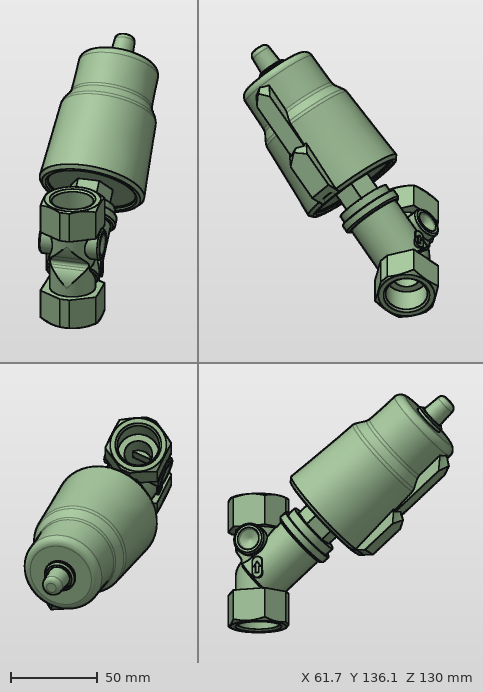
import cadquery as cq
import math


BODY_LENGTH = 75.0
PIPE_RADIUS = 26.5 / 2
BORE_DIAMETER = 16.0
BORE_FLAT_Y = -5.3
THROAT_HALF_HEIGHT = 5.0
WAIST_FILLET = 2.0
WAIST_CLEARANCE = 8.0

HEX_ACROSS_FLATS = 33.2
HEX_TRIMMED_DEPTH = 35.0
HEX_LENGTH = 18.8
HEX_FACE_RADIUS = 16.2
HEX_BEVEL_ANGLE = math.radians(30)
SOCKET_DIAMETER = 24.12
SOCKET_DEPTH = 16.0
SOCKET_CHAMFER = 1.2

PORT_Z = 10.7
PORT_DIAMETER = 18.2
PORT_SPAN = 36.0
PORT_CHAMFER = 1.0
PORT_HOLE_DIAMETER = 11.5
PORT_CONE_DEPTH = 3.3
PORT_HOLE_CHAMFER = 0.75

TILT = math.radians(40)
AXIS_Z = -10.3
AXIS_UP = (0, math.cos(TILT), math.sin(TILT))
ACROSS = (0, -math.sin(TILT), math.cos(TILT))
AXIS_ORIGIN = (0, 0, AXIS_Z)

BRANCH_RADIUS = 15.5
BRANCH_BASE = -0.4
BRANCH_CHAMFER = 0.9
COLLAR_RADIUS = 32.0 / 2
FLANGE_RADIUS = 36.0 / 2
FLANGE_BASE = 33.4
FLANGE_TOP = 38.8
FLANGE_CHAMFER = 1.1
COLLAR_TOP = 44.0
STEM_ACROSS_FLATS = 21.8

PLATE_Y = 4.7
PLATE_Z = -6.0
PLATE_WIDTH = 5.9
PLATE_HEIGHT = 12.4
PLATE_X = 16.2
ARROW_HEAD_WIDTH = 4.0
ARROW_SHAFT_WIDTH = 2.0
ARROW_LENGTH = 6.6
ARROW_HEAD_LENGTH = 2.9
ARROW_DEPTH = 0.3

SKIRT_BASE = 53.0
SKIRT_BASE_RADIUS = 29.0
SKIRT_EDGE = 55.2
SKIRT_RADIUS = 61.68 / 2
SHOULDER_BASE = 101.6
SHOULDER_BASE_RADIUS = 28.1
SHOULDER_TOP = 103.6
SHOULDER_TOP_RADIUS = 27.4
NECK_BASE = 108.9
NECK_BASE_RADIUS = 24.3
NECK_TOP = 110.8
NECK_TOP_RADIUS = 23.8
CAP_EDGE = 130.3
CAP_EDGE_RADIUS = 23.4
CAP_TOP = 135.0
CAP_TOP_RADIUS = 18.7
RECESS_RADIUS = 51.7 / 2
RECESS_DEPTH = 2.0
RECESS_CHAMFER = 1.0

RING_RADIUS = 18.2 / 2
RING_EDGE = 136.9
RING_TOP = 138.0
RING_TOP_RADIUS = 7.8
INDICATOR_BASE_RADIUS = 6.6
INDICATOR_TOP_RADIUS = 5.9
INDICATOR_TOP = 151.45
INDICATOR_ROUNDING = 3.0

PAD_SIDE_SLOPE = 1.0
UPPER_PAD_WIDTH = 11.0
UPPER_PAD_FACE = 29.3
UPPER_PAD_ROOT = 20.0
UPPER_PAD_BASE = 75.0
UPPER_PAD_SIDE_TOP = 121.1
UPPER_PAD_RIDGE_TOP = 126.9
UPPER_PAD_RIDGE_SLOPE = 0.5
LOWER_PAD_WIDTH = 14.0
LOWER_PAD_FACE = 34.2
LOWER_PAD_ROOT = 27.0
LOWER_PAD_BASE = 59.1
LOWER_PAD_BASE_SLOPE = -1.1
LOWER_PAD_SIDE_TOP = 81.0
LOWER_PAD_RIDGE_TOP = 86.4
LOWER_PAD_RIDGE_SLOPE = 0.4


def quarter_point(center, radius):
    """Middle of a convex quarter arc running from side to top."""
    offset = radius * math.sqrt(0.5)
    return center[0] + offset, center[1] + offset


def axis_plane():
    """Lengthwise plane of the branch: local x across the axis, local y along it."""
    return cq.Workplane(cq.Plane(origin=AXIS_ORIGIN, xDir=ACROSS, normal=(-1, 0, 0)))


def axial_section(height):
    """Plane square to the branch axis at a height, with local x parallel to X."""
    origin = (0, height * AXIS_UP[1], AXIS_Z + height * AXIS_UP[2])
    return cq.Workplane(cq.Plane(origin=origin, xDir=(1, 0, 0), normal=AXIS_UP))


def turned(outline):
    """Solid of revolution about the branch axis."""
    return outline.close().revolve(360, (0, 0), (0, 1))


def make_pipe():
    return cq.Workplane("XY").circle(PIPE_RADIUS).extrude(BODY_LENGTH / 2, both=True)


def make_branch():
    return turned(
        axis_plane()
        .moveTo(0, BRANCH_BASE)
        .lineTo(BRANCH_RADIUS - BRANCH_CHAMFER, BRANCH_BASE)
        .lineTo(BRANCH_RADIUS, BRANCH_BASE + BRANCH_CHAMFER)
        .lineTo(BRANCH_RADIUS, FLANGE_BASE)
        .lineTo(FLANGE_RADIUS - FLANGE_CHAMFER, FLANGE_BASE)
        .lineTo(FLANGE_RADIUS, FLANGE_BASE + FLANGE_CHAMFER)
        .lineTo(FLANGE_RADIUS, FLANGE_TOP)
        .lineTo(COLLAR_RADIUS, FLANGE_TOP)
        .lineTo(COLLAR_RADIUS, COLLAR_TOP)
        .lineTo(0, COLLAR_TOP)
    )


def make_waist_cutter():
    """Waist on the -Y side: two arcs across the pipe, joined by tangent faces.

    The lower arc ends in a face along the branch axis, the upper arc in a face
    square to it, and those two faces meet in a filleted inner corner."""
    r = PIPE_RADIUS
    sin_t = math.sin(TILT)
    cos_t = math.cos(TILT)
    upper_tangent = (-r * cos_t, r - r * sin_t)
    lower_tangent = (-r * sin_t, -r + r * cos_t)
    along = r * sin_t - r
    across = -r * cos_t + r
    corner = (along * cos_t - across * sin_t, along * sin_t + across * cos_t)
    upper_half = TILT / 2
    lower_half = (math.pi / 2 - TILT) / 2
    upper_middle = (-r * math.cos(upper_half), r - r * math.sin(upper_half))
    lower_middle = (-r * math.cos(lower_half), -r + r * math.sin(lower_half))
    outside = -r - WAIST_CLEARANCE
    return (
        cq.Workplane("YZ")
        .moveTo(outside, r)
        .lineTo(-r, r)
        .threePointArc(upper_middle, upper_tangent)
        .lineTo(*corner)
        .lineTo(*lower_tangent)
        .threePointArc(lower_middle, (-r, -r))
        .lineTo(outside, -r)
        .close()
        .extrude(2 * r, both=True)
        .edges(cq.selectors.NearestToPointSelector((0, *corner)))
        .fillet(WAIST_FILLET)
    )


def make_hexagon():
    """Upper hexagon with a bevelled outer end and its Y corners trimmed flat."""
    base = BODY_LENGTH / 2 - HEX_LENGTH
    corner_radius = HEX_ACROSS_FLATS / math.sqrt(3)
    bevel_drop = (corner_radius - HEX_FACE_RADIUS) * math.tan(HEX_BEVEL_ANGLE)
    hexagon = (
        cq.Workplane("XY", origin=(0, 0, base))
        .transformed(rotate=(0, 0, 90))
        .polygon(6, 2 * corner_radius)
        .extrude(HEX_LENGTH)
    )
    trim = (
        cq.Workplane("XY", origin=(0, 0, base))
        .rect(2 * corner_radius, HEX_TRIMMED_DEPTH)
        .extrude(HEX_LENGTH)
    )
    bevel = (
        cq.Workplane("XZ")
        .moveTo(0, base)
        .lineTo(corner_radius, base)
        .lineTo(corner_radius, BODY_LENGTH / 2 - bevel_drop)
        .lineTo(HEX_FACE_RADIUS, BODY_LENGTH / 2)
        .lineTo(0, BODY_LENGTH / 2)
        .close()
        .revolve(360, (0, 0), (0, 1))
    )
    return hexagon.intersect(trim).intersect(bevel)


def make_socket():
    """Upper socket recess with a chamfered mouth."""
    radius = SOCKET_DIAMETER / 2
    mouth = BODY_LENGTH / 2
    floor = mouth - SOCKET_DEPTH
    return (
        cq.Workplane("XZ")
        .moveTo(0, floor)
        .lineTo(radius, floor)
        .lineTo(radius, mouth - SOCKET_CHAMFER)
        .lineTo(radius + SOCKET_CHAMFER, mouth)
        .lineTo(0, mouth)
        .close()
        .revolve(360, (0, 0), (0, 1))
    )


def make_bore():
    """Through bore with a flat left on the -Y side of its throat."""
    radius = BORE_DIAMETER / 2
    bore = cq.Workplane("XY").circle(radius).extrude(BODY_LENGTH / 2, both=True)
    flat_thickness = radius + BORE_FLAT_Y
    flat = cq.Workplane("XY", origin=(0, BORE_FLAT_Y - flat_thickness / 2, 0)).box(
        BORE_DIAMETER, flat_thickness, 2 * THROAT_HALF_HEIGHT
    )
    return bore.cut(flat)


def make_ports():
    return (
        cq.Workplane("YZ", origin=(-PORT_SPAN / 2, 0, PORT_Z))
        .circle(PORT_DIAMETER / 2)
        .extrude(PORT_SPAN)
        .faces("<X or >X")
        .chamfer(PORT_CHAMFER)
    )


def make_port_hole():
    """Conical recess in the +X port with a chamfered mouth."""
    radius = PORT_HOLE_DIAMETER / 2
    mouth = PORT_SPAN / 2
    return (
        cq.Workplane("XY", origin=(0, 0, PORT_Z))
        .moveTo(mouth, 0)
        .lineTo(mouth, radius + PORT_HOLE_CHAMFER)
        .lineTo(mouth - PORT_HOLE_CHAMFER, radius)
        .lineTo(mouth - PORT_HOLE_CHAMFER - PORT_CONE_DEPTH, 0)
        .close()
        .revolve(360, (0, 0), (1, 0))
    )


def make_plate():
    """Oval plate on the +X side of the branch with an engraved upward arrow."""
    plate = (
        cq.Workplane("YZ", origin=(0, PLATE_Y, PLATE_Z))
        .slot2D(PLATE_HEIGHT, PLATE_WIDTH, 90)
        .extrude(PLATE_X)
    )
    tip = ARROW_LENGTH / 2
    shoulder = tip - ARROW_HEAD_LENGTH
    head = ARROW_HEAD_WIDTH / 2
    shaft = ARROW_SHAFT_WIDTH / 2
    arrow = (
        cq.Workplane("YZ", origin=(PLATE_X - ARROW_DEPTH, PLATE_Y, PLATE_Z))
        .polyline([
            (0, tip),
            (head, shoulder),
            (shaft, shoulder),
            (shaft, -tip),
            (-shaft, -tip),
            (-shaft, shoulder),
            (-head, shoulder),
        ])
        .close()
        .extrude(ARROW_DEPTH)
    )
    return plate.cut(arrow)


def make_housing():
    cap_rounding = (CAP_TOP_RADIUS, CAP_EDGE)
    return turned(
        axis_plane()
        .moveTo(0, SKIRT_BASE + RECESS_DEPTH)
        .lineTo(RECESS_RADIUS, SKIRT_BASE + RECESS_DEPTH)
        .lineTo(RECESS_RADIUS, SKIRT_BASE + RECESS_CHAMFER)
        .lineTo(RECESS_RADIUS + RECESS_CHAMFER, SKIRT_BASE)
        .lineTo(SKIRT_BASE_RADIUS, SKIRT_BASE)
        .lineTo(SKIRT_RADIUS, SKIRT_EDGE)
        .lineTo(SHOULDER_BASE_RADIUS, SHOULDER_BASE)
        .lineTo(SHOULDER_TOP_RADIUS, SHOULDER_TOP)
        .lineTo(NECK_BASE_RADIUS, NECK_BASE)
        .lineTo(NECK_TOP_RADIUS, NECK_TOP)
        .lineTo(CAP_EDGE_RADIUS, CAP_EDGE)
        .threePointArc(
            quarter_point(cap_rounding, CAP_TOP - CAP_EDGE),
            (CAP_TOP_RADIUS, CAP_TOP),
        )
        .lineTo(0, CAP_TOP)
    )


def make_indicator():
    rounding_base = INDICATOR_TOP - INDICATOR_ROUNDING
    tip_radius = INDICATOR_TOP_RADIUS - INDICATOR_ROUNDING
    return turned(
        axis_plane()
        .moveTo(0, CAP_EDGE)
        .lineTo(RING_RADIUS, CAP_EDGE)
        .lineTo(RING_RADIUS, RING_EDGE)
        .lineTo(RING_TOP_RADIUS, RING_TOP)
        .lineTo(INDICATOR_BASE_RADIUS, RING_TOP)
        .lineTo(INDICATOR_TOP_RADIUS, rounding_base)
        .threePointArc(
            quarter_point((tip_radius, rounding_base), INDICATOR_ROUNDING),
            (tip_radius, INDICATOR_TOP),
        )
        .lineTo(0, INDICATOR_TOP)
    )


def make_stem():
    """Hexagonal stem from the collar into the housing, with an edge towards -X."""
    return (
        axial_section(COLLAR_TOP)
        .polygon(6, STEM_ACROSS_FLATS * 2 / math.sqrt(3))
        .extrude(SKIRT_BASE + RECESS_DEPTH - COLLAR_TOP)
    )


def make_pad(width, face, root, base, base_slope, side_top, ridge_top, ridge_slope):
    """Pad under the housing with a pointed upper end.

    Heights are given on the outer face; slopes give their rise per millimetre
    towards the axis. Nothing is left below the base of the skirt."""
    depth = face - root
    half_width = width / 2

    def outline(inward):
        bottom = base + base_slope * inward
        side = side_top + PAD_SIDE_SLOPE * inward
        ridge = ridge_top + ridge_slope * inward
        return [
            (-half_width, bottom),
            (half_width, bottom),
            (half_width, side),
            (0, ridge),
            (-half_width, side),
        ]

    origin = (0, -face * ACROSS[1], AXIS_Z - face * ACROSS[2])
    plane = cq.Plane(origin=origin, xDir=(1, 0, 0), normal=ACROSS)
    pad = (
        cq.Workplane(plane)
        .polyline(outline(0))
        .close()
        .workplane(offset=depth)
        .polyline(outline(depth))
        .close()
        .loft(ruled=True)
    )
    above_skirt_base = axial_section(SKIRT_BASE).circle(2 * face).extrude(CAP_TOP - SKIRT_BASE)
    return pad.intersect(above_skirt_base)


upper_pad = make_pad(
    width=UPPER_PAD_WIDTH,
    face=UPPER_PAD_FACE,
    root=UPPER_PAD_ROOT,
    base=UPPER_PAD_BASE,
    base_slope=0,
    side_top=UPPER_PAD_SIDE_TOP,
    ridge_top=UPPER_PAD_RIDGE_TOP,
    ridge_slope=UPPER_PAD_RIDGE_SLOPE,
)
lower_pad = make_pad(
    width=LOWER_PAD_WIDTH,
    face=LOWER_PAD_FACE,
    root=LOWER_PAD_ROOT,
    base=LOWER_PAD_BASE,
    base_slope=LOWER_PAD_BASE_SLOPE,
    side_top=LOWER_PAD_SIDE_TOP,
    ridge_top=LOWER_PAD_RIDGE_TOP,
    ridge_slope=LOWER_PAD_RIDGE_SLOPE,
)

result = make_pipe().union(make_branch()).cut(make_waist_cutter())

hexagon = make_hexagon()
result = result.union(hexagon).union(hexagon.mirror("XY")).union(make_ports())

plate = make_plate()
result = result.union(plate).union(plate.mirror("YZ"))

socket = make_socket()
port_hole = make_port_hole()
for cutter in (make_bore(), socket, socket.mirror("XY"), port_hole, port_hole.mirror("YZ")):
    result = result.cut(cutter)

for actuator_piece in (make_stem(), make_housing(), make_indicator(), upper_pad, lower_pad):
    result = result.union(actuator_piece)